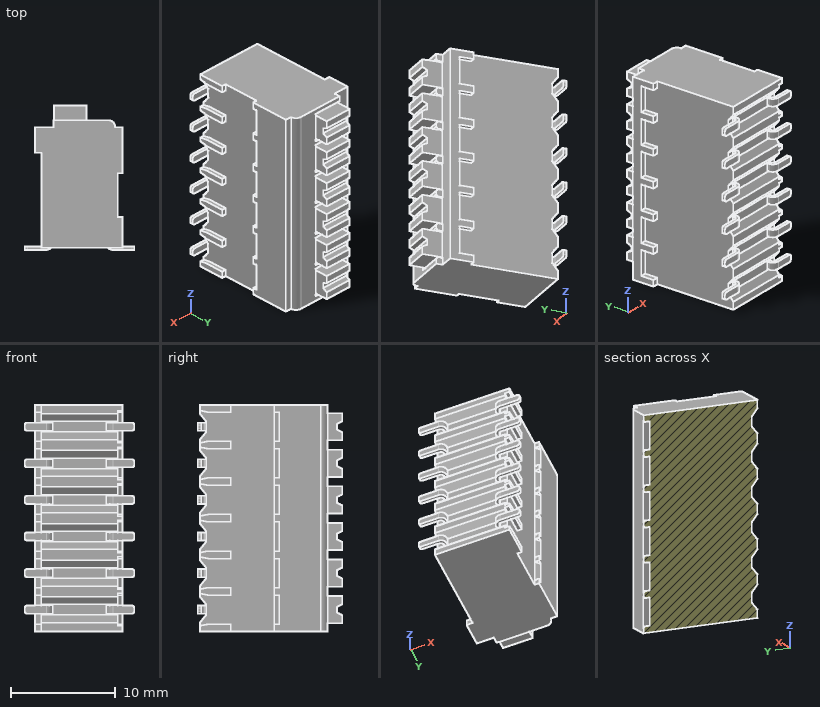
import cadquery as cq

POLE_COUNT = 6
PITCH = 3.5
HEIGHT = 21.7
DEPTH = 13.85
PIN_SPAN = 10.5
POLE_HEIGHTS = [(i - (POLE_COUNT - 1) / 2) * PITCH for i in range(POLE_COUNT)]

PIN_FRONT = -DEPTH / 2
BUTTON_TOP = DEPTH / 2
BODY_FRONT = -6.72
SHOULDER = 4.84
HEAD_TOP = 5.51

BODY_LEFT = -3.65
LEDGE_LEFT = -4.28
HEAD_LEFT = -2.5
HEAD_RIGHT = 3.42
BODY_RIGHT = 4.12
HEAD_FILLET = 0.65

LEDGE_BOTTOM = 2.37
LEDGE_GAP_TOP = 3.84
BAY_HEIGHT = 2.78

RECESS_FLOOR = 3.66
RECESS_BOTTOM = -3.74
RECESS_TOP = 0.42
RIB_TIP = 0.4
RIB_LEAD_IN = 0.8

NOTCH_DEPTH = 0.6
NOTCH_MOUTH = 2.48
NOTCH_FLOOR_WIDTH = 1.01

PIN_WIDTH = 0.8
PIN_THICKNESS = 0.35
PIN_BEND_RADIUS = 0.63
PIN_BEND_X = 3.19
PIN_EMBED = 0.4
PIN_TIP_FILLET = 0.25

BUTTON_LEFT = -2.45
BUTTON_RIGHT = 0.67
BUTTON_HEIGHT = 2.62
BUTTON_NOTCH_DEPTH = 0.5
BUTTON_NOTCH_MOUTH = 1.04
BUTTON_NOTCH_FLOOR = 0.54
SLOT_RIGHT = BUTTON_RIGHT + 0.05
BLOCK_CHAMFER = 0.17


def box(x_range, y_range, z_range):
    """Axis-aligned box between the given limits."""
    lengths = [high - low for low, high in (x_range, y_range, z_range)]
    corner = (x_range[0], y_range[0], z_range[0])
    return cq.Workplane("XY").box(*lengths, centered=False).translate(corner)


def around(center, height):
    """Z limits of a feature of the given height centred on a pole."""
    return (center - height / 2, center + height / 2)


def extrude_along_x(points, x_range):
    """Prism along X from (y, z) points."""
    prism = cq.Workplane("YZ").polyline(points).close().extrude(x_range[1] - x_range[0])
    return prism.translate((x_range[0], 0, 0))


def extrude_along_z(points, z_range):
    """Prism along Z from (x, y) points."""
    prism = cq.Workplane("XY").polyline(points).close().extrude(z_range[1] - z_range[0])
    return prism.translate((0, 0, z_range[0]))


def trapezoid(y_wide, wide, y_narrow, narrow, z):
    """(y, z) points of a trapezoid symmetric about the height z."""
    return [
        (y_wide, z - wide / 2),
        (y_narrow, z - narrow / 2),
        (y_narrow, z + narrow / 2),
        (y_wide, z + wide / 2),
    ]


def make_body():
    """Housing with its ledge, rounded head and side recess, constant over the height."""
    outline = (
        cq.Workplane("XY")
        .moveTo(BODY_LEFT, BODY_FRONT)
        .lineTo(BODY_RIGHT, BODY_FRONT)
        .lineTo(BODY_RIGHT, RECESS_BOTTOM)
        .lineTo(RECESS_FLOOR, RECESS_BOTTOM)
        .lineTo(RECESS_FLOOR, RECESS_TOP)
        .lineTo(BODY_RIGHT, RECESS_TOP)
        .lineTo(BODY_RIGHT, SHOULDER)
        .lineTo(HEAD_RIGHT, SHOULDER)
        .lineTo(HEAD_RIGHT, HEAD_TOP - HEAD_FILLET)
        .tangentArcPoint((-HEAD_FILLET, HEAD_FILLET))
        .lineTo(HEAD_LEFT, HEAD_TOP)
        .lineTo(HEAD_LEFT, SHOULDER)
        .lineTo(LEDGE_LEFT, SHOULDER)
        .lineTo(LEDGE_LEFT, LEDGE_BOTTOM)
        .lineTo(BODY_LEFT, LEDGE_BOTTOM)
        .close()
    )
    return outline.extrude(HEIGHT).translate((0, 0, -HEIGHT / 2))


def ledge_gap(z):
    return box((LEDGE_LEFT, BODY_LEFT), (LEDGE_BOTTOM, LEDGE_GAP_TOP), around(z, BAY_HEIGHT))


def rib_bay(z):
    """Open bay between the +X ribs, flared at the front and with a 45 degree ramp at the back."""
    side = (RECESS_FLOOR, BODY_RIGHT)
    mouth = PITCH - RIB_TIP
    ramp_rise = BODY_RIGHT - RECESS_FLOOR
    lead_in = trapezoid(BODY_FRONT, mouth, BODY_FRONT + RIB_LEAD_IN, BAY_HEIGHT, z)
    straight = box(side, (BODY_FRONT, RECESS_TOP), around(z, BAY_HEIGHT))
    ramp = extrude_along_z(
        [
            (RECESS_FLOOR, RECESS_TOP),
            (BODY_RIGHT, RECESS_TOP),
            (BODY_RIGHT, RECESS_TOP + ramp_rise),
        ],
        around(z, BAY_HEIGHT),
    )
    return straight.union(extrude_along_x(lead_in, side)).union(ramp)


def pin_notch(z):
    floor = BODY_FRONT + NOTCH_DEPTH
    section = trapezoid(BODY_FRONT, NOTCH_MOUTH, floor, NOTCH_FLOOR_WIDTH, z)
    return extrude_along_x(section, (BODY_LEFT, BODY_RIGHT))


def button_slot(z):
    """Slot for a button, its mouth chamfered into the blocks beside it."""
    span = (HEAD_LEFT, SLOT_RIGHT)
    mouth = BAY_HEIGHT + 2 * BLOCK_CHAMFER
    flare = trapezoid(HEAD_TOP, mouth, HEAD_TOP - BLOCK_CHAMFER, BAY_HEIGHT, z)
    slot = box(span, (SHOULDER, HEAD_TOP), around(z, BAY_HEIGHT))
    return slot.union(extrude_along_x(flare, span))


def button(z):
    span = (BUTTON_LEFT, BUTTON_RIGHT)
    root = SHOULDER - BUTTON_NOTCH_DEPTH
    notch = trapezoid(
        BUTTON_TOP, BUTTON_NOTCH_MOUTH, BUTTON_TOP - BUTTON_NOTCH_DEPTH, BUTTON_NOTCH_FLOOR, z
    )
    bar = box(span, (root, BUTTON_TOP), around(z, BUTTON_HEIGHT))
    return bar.cut(extrude_along_x(notch, span))


def pin(z):
    """Pin on the +X side: a leg out of the notch floor, bent outwards to a rounded tip."""
    inner_radius = PIN_BEND_RADIUS - PIN_THICKNESS
    bend_y = PIN_FRONT + PIN_BEND_RADIUS
    leg_outer = PIN_BEND_X - PIN_BEND_RADIUS
    leg_inner = PIN_BEND_X - inner_radius
    leg_end = BODY_FRONT + NOTCH_DEPTH + PIN_EMBED
    tip = PIN_SPAN / 2
    strip = (
        cq.Workplane("XY")
        .moveTo(leg_inner, leg_end)
        .lineTo(leg_outer, leg_end)
        .lineTo(leg_outer, bend_y)
        .tangentArcPoint((PIN_BEND_RADIUS, -PIN_BEND_RADIUS))
        .lineTo(tip, PIN_FRONT)
        .lineTo(tip, PIN_FRONT + PIN_THICKNESS)
        .lineTo(PIN_BEND_X, PIN_FRONT + PIN_THICKNESS)
        .tangentArcPoint((-inner_radius, inner_radius))
        .close()
        .extrude(PIN_WIDTH)
        .translate((0, 0, -PIN_WIDTH / 2))
    )
    tip_edges = strip.faces(">X").edges("|Y")
    return tip_edges.fillet(PIN_TIP_FILLET).translate((0, 0, z))


result = make_body()
for pole_z in POLE_HEIGHTS:
    for cutter in (ledge_gap, rib_bay, pin_notch, button_slot):
        result = result.cut(cutter(pole_z))
for pole_z in POLE_HEIGHTS:
    right_pin = pin(pole_z)
    result = result.union(button(pole_z)).union(right_pin).union(right_pin.mirror("YZ"))